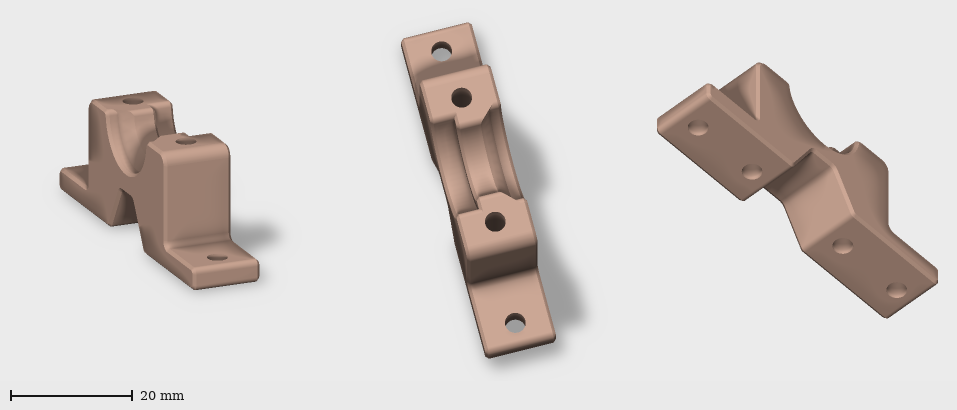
import cadquery as cq
import math

length = 56.0
depth = 12.0
height = 20.0
flange_thickness = 4.0
tower_width = 32.0

corner_radius = 1.0
shoulder_radius = 2.0
edge_chamfer = 0.5

notch_height = 8.0
notch_top_width = 5.05
notch_angle = 60.0

seat_radius = 8.0
web_radius = 6.0
lip_radius = 1.0
front_seat_depth = 2.0
back_seat_depth = 4.0

hole_diameter = 3.4
flange_hole_offset = 24.0
tower_hole_offset = 11.0

front_y = -depth / 2
back_y = depth / 2
web_back_y = back_y - back_seat_depth


def extrude_along_y(profile, y_start, y_end):
    """Extrude a closed XZ-plane outline, drawn at Y = 0, from y_start to y_end."""
    return profile.extrude(y_start - y_end).translate((0, y_start, 0))


def make_body():
    """Flange and tower with the notch below, all profile corners rounded."""
    half_length = length / 2
    half_tower = tower_width / 2
    half_notch_top = notch_top_width / 2
    half_notch_base = half_notch_top + notch_height / math.tan(math.radians(notch_angle))
    right_side = [
        (half_notch_top, notch_height),
        (half_notch_base, 0),
        (half_length, 0),
        (half_length, flange_thickness),
        (half_tower, flange_thickness),
        (half_tower, height),
    ]
    left_side = [(-x, z) for x, z in reversed(right_side)]
    profile = cq.Workplane("XZ").polyline(right_side + left_side).close()
    body = extrude_along_y(profile, front_y, back_y)
    body = body.edges("|Y and >Z").fillet(shoulder_radius)
    below_shoulders = cq.selectors.BoxSelector(
        (-length, -depth, -height), (length, depth, (height + notch_height) / 2)
    )
    return body.edges("|Y").edges(below_shoulders).fillet(corner_radius)


def make_saddle_cutter(radius):
    """Half-round trough centred on the tower top, with rounded lips at the top face."""
    lip_x = math.sqrt((radius + lip_radius) ** 2 - lip_radius**2)
    lip_z = height - lip_radius
    share = radius / (radius + lip_radius)
    tangent_x = lip_x * share
    tangent_z = height - lip_radius * share
    tangent_angle = math.atan2(lip_radius, -lip_x)
    middle_angle = (math.pi / 2 + tangent_angle) / 2
    middle_x = lip_x + lip_radius * math.cos(middle_angle)
    middle_z = lip_z + lip_radius * math.sin(middle_angle)
    profile = (
        cq.Workplane("XZ")
        .moveTo(-lip_x, height)
        .threePointArc((-middle_x, middle_z), (-tangent_x, tangent_z))
        .threePointArc((0, height - radius), (tangent_x, tangent_z))
        .threePointArc((middle_x, middle_z), (lip_x, height))
        .close()
    )
    return extrude_along_y(profile, front_y, back_y)


def make_web():
    """Narrow saddle web: chamfered at the back, with a 45 degree cone at the front."""
    web_front_y = front_y + edge_chamfer
    half_width = (seat_radius + tower_width / 2) / 2
    bottom_z = (notch_height + height - seat_radius) / 2
    web = cq.Workplane("XY").box(
        2 * half_width, web_back_y - web_front_y, height - bottom_z, centered=(True, False, False)
    )
    web = web.translate((0, web_front_y, bottom_z)).cut(make_saddle_cutter(web_radius))
    web = web.faces(">Y").edges().chamfer(edge_chamfer)
    cone_length = front_seat_depth + seat_radius - web_radius
    cone = cq.Solid.makeCone(
        web_radius + cone_length,
        web_radius,
        cone_length,
        pnt=cq.Vector(0, front_y, height),
        dir=cq.Vector(0, 1, 0),
    )
    return web.cut(cq.Workplane(cone))


def make_holes():
    """Four vertical through holes on the X axis."""
    offsets = (flange_hole_offset, tower_hole_offset)
    centres = [(side * offset, 0) for offset in offsets for side in (-1, 1)]
    return cq.Workplane("XY").pushPoints(centres).circle(hole_diameter / 2).extrude(height)


body = make_body().cut(make_saddle_cutter(seat_radius))
body = body.faces("<Y or >Y").edges().chamfer(edge_chamfer)
result = body.union(make_web()).cut(make_holes())